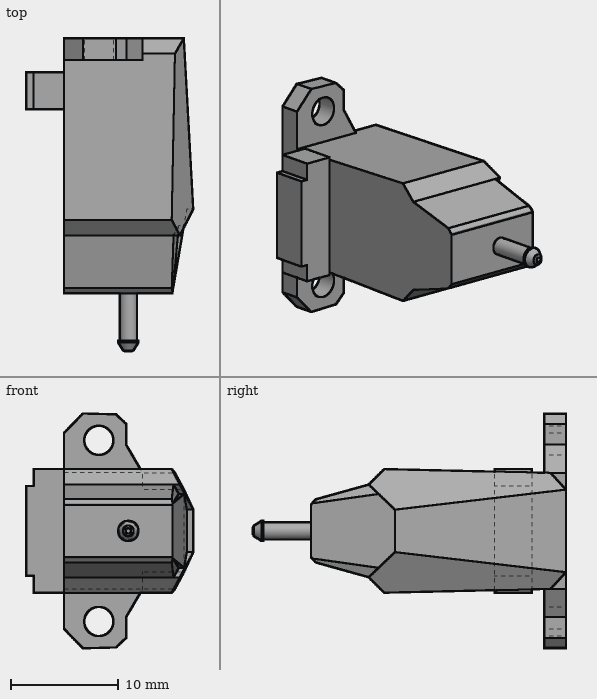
import cadquery as cq


BACK_CHAMFER_DEPTH = 1.45
BACK_HALF_HEIGHT = 3.85
HOUSING_BACK_HALF_HEIGHT = 5.42
HOUSING_HALF_HEIGHT = 5.78
SHOULDER_DEPTH = 16.95
NECK_DEPTH = 18.41
NECK_HALF_HEIGHT = 4.33
NOSE_BEVEL_DEPTH = 23.33
NOSE_BEVEL_HALF_HEIGHT = 2.96
NOSE_EDGE_DEPTH = 23.73
NOSE_EDGE_HALF_HEIGHT = 2.53
NOSE_DEPTH = 23.81
NOSE_FACE_HALF_HEIGHT = 2.43

BULGE_BACK_X = 11.2
BULGE_FRONT_X = 12.08
BULGE_FRONT_DEPTH = 15.96
BULGE_FRONT_HALF_HEIGHT = 1.98
HOUSING_TOP_BACK_X = 10.36
HOUSING_TOP_FRONT_X = 10.06

NOSE_SIDE_FRONT_X = 10.12
NOSE_SIDE_NECK_X = 11.05
NOSE_TOP_NECK_X = 10.23
NOSE_TOP_FRONT_X = 10.06
LEDGE_BACK_X = 10.72
LEDGE_BACK_DEPTH = 17.46
LEDGE_BACK_HALF_HEIGHT = 3.45
LEDGE_FRONT_HALF_HEIGHT = 2.55

FLANGE_THICKNESS = 2.05
FLANGE_HALF_HEIGHT = 10.965
FLANGE_TOP_SLOPE_DROP = 0.08
FLANGE_LEFT_CORNER_X = 1.78
FLANGE_LEFT_CORNER_Z = 9.13
FLANGE_RIGHT_CORNER_X = 4.86
FLANGE_EAR_X = 5.82
FLANGE_RIGHT_CORNER_Z = 9.98
FLANGE_EAR_FOOT_Z = 8.04
FLANGE_BASE_X = 7.35
FLANGE_BASE_Z = 5.42
MOUNT_HOLE_X = 3.26
MOUNT_HOLE_Z = 8.45
MOUNT_HOLE_DIAMETER = 2.7

RIB_BACK_DEPTH = 3.18
RIB_FRONT_DEPTH = 6.65
RIB_STEP_X = -2.82
RIB_OUTER_X = -3.52
RIB_STEP_HALF_HEIGHT = 4.19

PIN_X = 6.01
PIN_RADIUS = 0.82
PIN_HEAD_RADIUS = 0.95
PIN_HEAD_DEPTH = 28.2
PIN_CONE_DEPTH = 28.4
PIN_TIP_BEVEL_DEPTH = 29.12
PIN_TIP_BEVEL_RADIUS = 0.5
PIN_TIP_DEPTH = 29.25
PIN_TIP_RADIUS = 0.25

REACH = 20.0


def mirrored_outline(upper_points):
    """Close an upper outline with its mirror image below Z = 0."""
    lower_points = [(u, -z) for u, z in reversed(upper_points)]
    return upper_points + lower_points


def side_prism(upper_points, width):
    """Extrude a symmetric (depth, half height) outline from X = 0 along +X."""
    outline = [(-depth, z) for depth, z in mirrored_outline(upper_points)]
    return cq.Workplane("YZ").polyline(outline).close().extrude(width)


def block_beyond(point_a, point_b, point_c):
    """Large block resting on the plane through three (x, depth, z) points, on its +X side."""
    a, b, c = [cq.Vector(x, -depth, z) for x, depth, z in (point_a, point_b, point_c)]
    normal = (b - a).cross(c - a)
    if normal.x < 0:
        normal = normal * -1
    plane = cq.Plane(origin=a, xDir=b - a, normal=normal)
    return cq.Workplane(plane).rect(4 * REACH, 4 * REACH).extrude(REACH)


def trim_both_slopes(body, point_a, point_b, point_c):
    """Cut away what lies beyond a sloped side plane and beyond its mirror image."""
    beyond = block_beyond(point_a, point_b, point_c)
    return body.cut(beyond).cut(beyond.mirror("XY"))


def make_main_housing():
    body = side_prism(
        [
            (0, BACK_HALF_HEIGHT),
            (BACK_CHAMFER_DEPTH, HOUSING_BACK_HALF_HEIGHT),
            (SHOULDER_DEPTH, HOUSING_HALF_HEIGHT),
            (NECK_DEPTH, NECK_HALF_HEIGHT),
            (BULGE_FRONT_DEPTH, BULGE_FRONT_HALF_HEIGHT),
        ],
        REACH,
    )
    bulge_front = (BULGE_FRONT_X, BULGE_FRONT_DEPTH, BULGE_FRONT_HALF_HEIGHT)
    body = trim_both_slopes(
        body,
        (HOUSING_TOP_BACK_X, BACK_CHAMFER_DEPTH, HOUSING_BACK_HALF_HEIGHT),
        (HOUSING_TOP_FRONT_X, SHOULDER_DEPTH, HOUSING_HALF_HEIGHT),
        bulge_front,
    )
    bulge_side = block_beyond(
        bulge_front,
        (BULGE_FRONT_X, BULGE_FRONT_DEPTH, -BULGE_FRONT_HALF_HEIGHT),
        (BULGE_BACK_X, 0, 0),
    )
    return body.cut(bulge_side)


def make_nose():
    """Tapered nose with sloped sides and a narrow ledge along its flat side face."""
    full_height_core = side_prism(
        [
            (BULGE_FRONT_DEPTH, BULGE_FRONT_HALF_HEIGHT),
            (NECK_DEPTH, NECK_HALF_HEIGHT),
            (NOSE_BEVEL_DEPTH, NOSE_BEVEL_HALF_HEIGHT),
            (NOSE_EDGE_DEPTH, NOSE_EDGE_HALF_HEIGHT),
            (NOSE_DEPTH, NOSE_FACE_HALF_HEIGHT),
        ],
        REACH,
    )
    below_ledge = side_prism(
        [
            (BULGE_FRONT_DEPTH, BULGE_FRONT_HALF_HEIGHT),
            (LEDGE_BACK_DEPTH, LEDGE_BACK_HALF_HEIGHT),
            (NOSE_DEPTH, LEDGE_FRONT_HALF_HEIGHT),
        ],
        REACH,
    )
    sloped_core = trim_both_slopes(
        full_height_core,
        (NOSE_TOP_NECK_X, NECK_DEPTH, NECK_HALF_HEIGHT),
        (NOSE_TOP_FRONT_X, NOSE_BEVEL_DEPTH, NOSE_BEVEL_HALF_HEIGHT),
        (LEDGE_BACK_X, LEDGE_BACK_DEPTH, LEDGE_BACK_HALF_HEIGHT),
    )
    nose_side = block_beyond(
        (NOSE_SIDE_FRONT_X, NOSE_DEPTH, 0),
        (NOSE_SIDE_NECK_X, NECK_DEPTH, 0),
        (NOSE_SIDE_NECK_X, NECK_DEPTH, NECK_HALF_HEIGHT),
    )
    return sloped_core.union(full_height_core.intersect(below_ledge)).cut(nose_side)


def make_flange():
    upper = [
        (FLANGE_BASE_X, FLANGE_BASE_Z),
        (FLANGE_EAR_X, FLANGE_EAR_FOOT_Z),
        (FLANGE_EAR_X, FLANGE_RIGHT_CORNER_Z),
        (FLANGE_RIGHT_CORNER_X, FLANGE_HALF_HEIGHT - FLANGE_TOP_SLOPE_DROP),
        (FLANGE_LEFT_CORNER_X, FLANGE_HALF_HEIGHT),
        (0, FLANGE_LEFT_CORNER_Z),
    ]
    plate = cq.Workplane("XZ").polyline(mirrored_outline(upper)).close().extrude(FLANGE_THICKNESS)
    holes = (
        cq.Workplane("XZ")
        .pushPoints([(MOUNT_HOLE_X, MOUNT_HOLE_Z), (MOUNT_HOLE_X, -MOUNT_HOLE_Z)])
        .circle(MOUNT_HOLE_DIAMETER / 2)
        .extrude(FLANGE_THICKNESS)
    )
    return plate.cut(holes)


def make_rib():
    upper = [
        (0, HOUSING_HALF_HEIGHT),
        (RIB_STEP_X, HOUSING_HALF_HEIGHT),
        (RIB_STEP_X, RIB_STEP_HALF_HEIGHT),
        (RIB_OUTER_X, RIB_STEP_HALF_HEIGHT),
    ]
    back = cq.Workplane("XZ").workplane(offset=RIB_BACK_DEPTH)
    return back.polyline(mirrored_outline(upper)).close().extrude(RIB_FRONT_DEPTH - RIB_BACK_DEPTH)


def make_pin():
    """Round pin with a flared conical head, starting inside the nose."""
    half_section = [
        (0, NOSE_BEVEL_DEPTH),
        (PIN_RADIUS, NOSE_BEVEL_DEPTH),
        (PIN_RADIUS, PIN_HEAD_DEPTH),
        (PIN_HEAD_RADIUS, PIN_HEAD_DEPTH),
        (PIN_HEAD_RADIUS, PIN_CONE_DEPTH),
        (PIN_TIP_BEVEL_RADIUS, PIN_TIP_BEVEL_DEPTH),
        (PIN_TIP_RADIUS, PIN_TIP_DEPTH),
        (0, PIN_TIP_DEPTH),
    ]
    outline = [(radius, -depth) for radius, depth in half_section]
    pin = cq.Workplane("XY").polyline(outline).close().revolve(360, (0, 0, 0), (0, 1, 0))
    return pin.translate((PIN_X, 0, 0))


result = (
    make_main_housing()
    .union(make_nose())
    .union(make_flange())
    .union(make_rib())
    .union(make_pin())
)